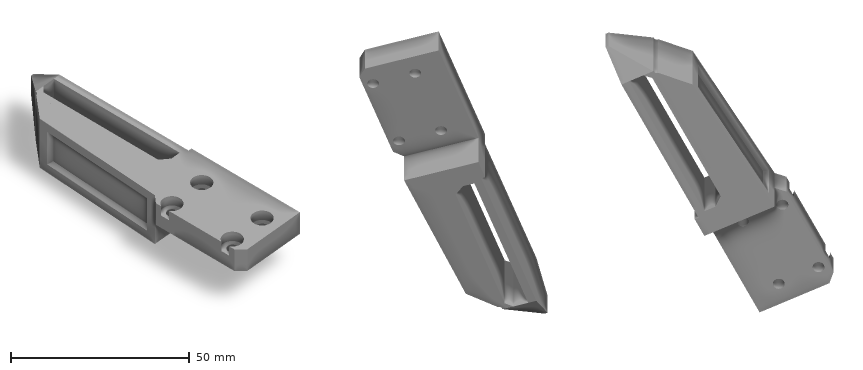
import cadquery as cq
import math

LENGTH = 100.3
WIDTH = 24.4
HEIGHT = 18.0

NOSE_BACK_Y = 23.2
NOSE_FRONT_Y = 22.3
SHOULDER = (18.9, 5.2)
STEP = (65.2, 2.4)

PART_X = 59.1
PART_BEND_Y = 17.4
PART_CORNER = (56.1, 13.5)
PART_FLAT_END_X = 43.6
PART_TOE = (15.5, 12.2)
PART_TOE_RADIUS = 1.2

WINDOW_FRONT_Y = 14.4
WINDOW_BACK_Y = 20.8
WINDOW_REAR_X = 57.9
WINDOW_NOSE_BEVEL = 1.9
WINDOW_REAR_BEVEL_X = 2.4
WINDOW_REAR_BEVEL_Y = 2.9
TAPER_LENGTH = 10.0
NOSE_HEIGHT = 7.1
GROOVE_START_X = 10.1
GROOVE_END_X = 11.1
GROOVE_DEPTH = 0.3

PLATE_THICKNESS = 7.9
PLATE_FRONT_X = 67.8
PLATE_BEVEL_X = 2.6
PLATE_BEVEL_Y = 2.5
POCKET_START_X = 21.9
POCKET_END_X = 62.1
POCKET_HEIGHT = 11.9
POCKET_DEPTH = 1.2
HOLE_XS = (71.2, 94.2)
HOLE_YS = (2.9, 15.3)
HOLE_DIAMETER = 3.3
COUNTERBORE_DIAMETER = 6.5
COUNTERBORE_DEPTH = 3.4


def prism(points):
    """Full-height prism on a closed XY outline."""
    return cq.Workplane("XY").polyline(points).close().extrude(HEIGHT)


def nose_slope_point(x):
    """Point at X on the straight slope from the nose to the shoulder."""
    slope = (SHOULDER[1] - NOSE_FRONT_Y) / SHOULDER[0]
    return (x, NOSE_FRONT_Y + slope * x)


def holder_blank():
    """Holder outline at full height, with the toe of the parting line rounded."""
    blank = prism([
        SHOULDER,
        STEP,
        (PLATE_FRONT_X, 0),
        (LENGTH - PLATE_BEVEL_X, 0),
        (LENGTH, PLATE_BEVEL_Y),
        (LENGTH, WIDTH),
        (PART_X, WIDTH),
        (PART_X, PART_BEND_Y),
        PART_CORNER,
        (PART_FLAT_END_X, PART_CORNER[1]),
        PART_TOE,
    ])
    toe_edge = cq.selectors.NearestToPointSelector((*PART_TOE, HEIGHT / 2))
    return blank.edges("|Z").edges(toe_edge).fillet(PART_TOE_RADIUS)


def window():
    """Through window with its two front corners bevelled."""
    return prism([
        (TAPER_LENGTH, WINDOW_BACK_Y),
        (TAPER_LENGTH, WINDOW_FRONT_Y + WINDOW_NOSE_BEVEL),
        (TAPER_LENGTH + WINDOW_NOSE_BEVEL, WINDOW_FRONT_Y),
        (WINDOW_REAR_X - WINDOW_REAR_BEVEL_X, WINDOW_FRONT_Y),
        (WINDOW_REAR_X, WINDOW_FRONT_Y + WINDOW_REAR_BEVEL_Y),
        (WINDOW_REAR_X, WINDOW_BACK_Y),
    ])


def nose_envelope():
    """Side profile of the tip: the height tapers equally from above and below."""
    low = (HEIGHT - NOSE_HEIGHT) / 2
    profile = [
        (0, low),
        (TAPER_LENGTH, 0),
        (PART_X, 0),
        (PART_X, HEIGHT),
        (TAPER_LENGTH, HEIGHT),
        (0, HEIGHT - low),
    ]
    return cq.Workplane("XZ").polyline(profile).close().extrude(-WIDTH)


def groove():
    """Shallow round groove running up the sloping nose face."""
    start = nose_slope_point(GROOVE_START_X)
    end = nose_slope_point(GROOVE_END_X)
    half_chord = math.dist(start, end) / 2
    radius = (half_chord**2 + GROOVE_DEPTH**2) / (2 * GROOVE_DEPTH)
    outward = math.atan2(SHOULDER[1] - NOSE_FRONT_Y, SHOULDER[0]) - math.pi / 2
    offset = radius - GROOVE_DEPTH
    center_x = (start[0] + end[0]) / 2 + offset * math.cos(outward)
    center_y = (start[1] + end[1]) / 2 + offset * math.sin(outward)
    return cq.Workplane("XY").center(center_x, center_y).circle(radius).extrude(HEIGHT)


def make_tip():
    """Pointed frame seated against the holder's parting line."""
    blank = prism([
        (0, NOSE_FRONT_Y),
        SHOULDER,
        PART_CORNER,
        (PART_X, PART_BEND_Y),
        (PART_X, NOSE_BACK_Y),
        (0, NOSE_BACK_Y),
    ])
    tip = blank.intersect(nose_envelope())
    return tip.cut(holder_blank()).cut(window()).cut(groove())


def pocket():
    """Tapered rectangular recess in the long sloping front side."""
    run = STEP[0] - SHOULDER[0]
    drop = STEP[1] - SHOULDER[1]
    incline = math.hypot(run, drop) / run
    middle_x = (POCKET_START_X + POCKET_END_X) / 2
    middle_y = SHOULDER[1] + drop / run * (middle_x - SHOULDER[0])
    face = cq.Plane(
        origin=(middle_x, middle_y, HEIGHT / 2),
        xDir=(run, drop, 0),
        normal=(drop, -run, 0),
    )
    length = (POCKET_END_X - POCKET_START_X) * incline
    return cq.Workplane(face).rect(length, POCKET_HEIGHT).extrude(-POCKET_DEPTH, taper=45)


def make_holder():
    """Grip block with a thinner mounting plate and four counterbored holes."""
    holder = holder_blank()
    below_plate = cq.Workplane("XY").box(
        LENGTH - STEP[0], WIDTH, HEIGHT - PLATE_THICKNESS, centered=False
    ).translate((STEP[0], 0, 0))
    holder = holder.cut(below_plate).cut(pocket())
    hole_places = [(x, y) for x in HOLE_XS for y in HOLE_YS]
    return (
        holder.faces(">Z").workplane(origin=(0, 0, HEIGHT))
        .pushPoints(hole_places)
        .cboreHole(HOLE_DIAMETER, COUNTERBORE_DIAMETER, COUNTERBORE_DEPTH)
    )


tip = make_tip()
holder = make_holder()
result = cq.Compound.makeCompound([tip.solids().val(), holder.solids().val()])